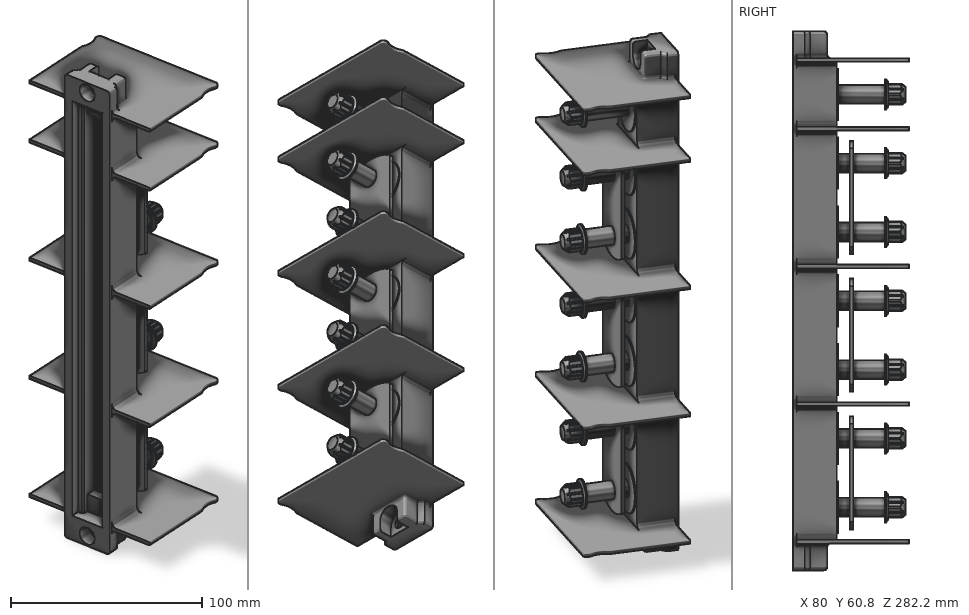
import cadquery as cq
import math

STRIP_LENGTH = 282.2
PITCH = 36.0
STUD_POSITIONS = [step * PITCH for step in range(-3, 4)]
BARRIER_POSITIONS = [-3.5 * PITCH, -1.5 * PITCH, 0.5 * PITCH, 2.5 * PITCH, 3.5 * PITCH]
LINK_POSITIONS = [-2.5 * PITCH, -0.5 * PITCH, 1.5 * PITCH]

BODY_WIDTH = 30.0
BODY_DEPTH = 23.0
BODY_LENGTH = BARRIER_POSITIONS[-1] - BARRIER_POSITIONS[0]

END_DEPTH = 18.0
END_REAR_WIDTH = 24.6
END_SLOPE_START = 6.3
END_SLOPE_FINISH = 9.0
END_EDGE_RADIUS = 2.0
END_CORNER_RADIUS = 1.4

HOLE_INSET = 6.1
HOLE_DIAMETER = 6.5
FRONT_BORE_DIAMETER = 10.0
FRONT_BORE_DEPTH = 8.0
REAR_SLOT_WIDTH = 12.8
REAR_SLOT_FLOOR = 10.0

EDGE_SEARCH_MARGIN = 0.1

GROOVE_LENGTH = 252.6
GROOVE_WIDTH = 20.0
GROOVE_DEPTH = 5.0
CHANNEL_WIDTH = 13.0
CHANNEL_DEPTH = 14.0
CHANNEL_CHAMFER = 1.0
END_BLOCK_LENGTH = 10.4
END_BLOCK_FRONT = 8.5

BARRIER_WIDTH = 80.0
BARRIER_THICKNESS = 2.0
BARRIER_FRONT = 2.0
BARRIER_REAR = 60.8
BARRIER_CORNER_RADIUS = 2.0
SCALLOP_START = 46.5
SCALLOP_FINISH = 57.5
SCALLOP_DEPTH = 1.5
SCALLOP_LIP_RADIUS = 4.0
BARRIER_EDGE_RADIUS = 0.25
ROOT_RADIUS = 3.0
END_ROOT_RADIUS = 1.8

PAD_DIAMETER = 27.0
PAD_REAR = 23.8
STUD_DIAMETER = 10.0
FLANGE_DIAMETER = 16.0
FLANGE_TOP_DIAMETER = 13.0
FLANGE_FRONT = 48.0
FLANGE_RIM = 0.8
FLANGE_REAR = 49.8
HEAD_SIDES = 6
HEAD_ACROSS_FLATS = 11.0
HEAD_CORNER_DIAMETER = HEAD_ACROSS_FLATS / math.cos(math.pi / HEAD_SIDES)
HEAD_ROUND_DIAMETER = 12.2
HEAD_REAR = 59.0
HEAD_TIP_DIAMETER = 7.8
HEAD_BEVEL_LENGTH = 2.8
HEAD_GROOVE_WIDTH = 1.0
HEAD_GROOVE_DEPTH = 0.7

LINK_WIDTH = 30.0
LINK_LENGTH = 59.5
LINK_FRONT = 29.7
LINK_THICKNESS = 2.0


def box(x_size, y_start, y_end, z_size, z_center=0.0):
    """Block centred on X, between two depths along Y."""
    depth = y_end - y_start
    return cq.Workplane("XY").box(x_size, depth, z_size).translate((0, y_start + depth / 2, z_center))


def disc(diameter, y_start, y_end, z_center):
    """Cylinder along Y between two depths."""
    return (
        cq.Workplane("XZ", origin=(0, y_start, z_center))
        .circle(diameter / 2)
        .extrude(y_start - y_end)
    )


def mounting_profile():
    """Stepped cross-section of the mounting ends, lying in XY."""
    front_half = BODY_WIDTH / 2
    rear_half = END_REAR_WIDTH / 2
    return cq.Workplane("XY").polyline([
        (-front_half, 0),
        (front_half, 0),
        (front_half, END_SLOPE_START),
        (rear_half, END_SLOPE_FINISH),
        (rear_half, END_DEPTH),
        (-rear_half, END_DEPTH),
        (-rear_half, END_SLOPE_FINISH),
        (-front_half, END_SLOPE_START),
    ]).close()


def mounting_rail():
    """Full-length stepped bar whose two ends stand out of the body."""
    rail = mounting_profile().extrude(STRIP_LENGTH).translate((0, 0, -STRIP_LENGTH / 2))
    rail = rail.edges("|Z and >Y").fillet(END_CORNER_RADIUS)
    return rail.faces("<Z or >Z").edges("not <Y").fillet(END_EDGE_RADIUS)


def barrier(z_center):
    """Plate with rounded edges and rear corners and a shallow scallop in each side."""
    half = BARRIER_WIDTH / 2
    scallop_middle = (SCALLOP_START + SCALLOP_FINISH) / 2
    plate = box(BARRIER_WIDTH, BARRIER_FRONT, BARRIER_REAR, BARRIER_THICKNESS, z_center)
    plate = plate.edges("|Z and >Y").fillet(BARRIER_CORNER_RADIUS)
    for side in (-1, 1):
        scallop = (
            cq.Workplane("XY", origin=(0, 0, z_center - BARRIER_THICKNESS / 2))
            .moveTo(side * half, SCALLOP_START)
            .threePointArc((side * (half - SCALLOP_DEPTH), scallop_middle), (side * half, SCALLOP_FINISH))
            .close()
            .extrude(BARRIER_THICKNESS)
        )
        plate = plate.cut(scallop)
    lip_band = cq.selectors.BoxSelector(
        (-half - EDGE_SEARCH_MARGIN, SCALLOP_START - EDGE_SEARCH_MARGIN, z_center - BARRIER_THICKNESS),
        (half + EDGE_SEARCH_MARGIN, SCALLOP_FINISH + EDGE_SEARCH_MARGIN, z_center + BARRIER_THICKNESS),
    )
    plate = plate.edges("|Z").edges(lip_band).fillet(SCALLOP_LIP_RADIUS)
    return plate.faces("<Z or >Z").edges("not <Y").fillet(BARRIER_EDGE_RADIUS)


def side_root(side, z_face, direction):
    """Concave fillet between a body side and a barrier face."""
    x_wall = side * BODY_WIDTH / 2
    diagonal = ROOT_RADIUS * (1 - math.sqrt(0.5))
    return (
        cq.Workplane("XZ", origin=(0, BARRIER_FRONT, 0))
        .moveTo(x_wall, z_face)
        .lineTo(x_wall + side * ROOT_RADIUS, z_face)
        .threePointArc(
            (x_wall + side * diagonal, z_face + direction * diagonal),
            (x_wall, z_face + direction * ROOT_RADIUS),
        )
        .close()
        .extrude(BARRIER_FRONT - BODY_DEPTH)
    )


def blend_end_roots(housing):
    """Fillet the outline of each mounting end where it meets the outermost barrier."""
    z_face = BARRIER_POSITIONS[-1] + BARRIER_THICKNESS / 2
    reach = BODY_WIDTH / 2 + EDGE_SEARCH_MARGIN
    for direction in (-1, 1):
        outline = cq.selectors.BoxSelector(
            (-reach, BARRIER_FRONT, direction * z_face - EDGE_SEARCH_MARGIN),
            (reach, END_DEPTH + EDGE_SEARCH_MARGIN, direction * z_face + EDGE_SEARCH_MARGIN),
        )
        housing = housing.edges(outline).fillet(END_ROOT_RADIUS)
    return housing


def groove():
    """Front groove with a deeper central channel that is shallower at both ends."""
    opening = box(GROOVE_WIDTH, 0, GROOVE_DEPTH, GROOVE_LENGTH)
    channel = box(CHANNEL_WIDTH, GROOVE_DEPTH, CHANNEL_DEPTH, GROOVE_LENGTH)
    half = CHANNEL_WIDTH / 2
    lead_in = (
        cq.Workplane("XY", origin=(0, 0, -GROOVE_LENGTH / 2))
        .polyline([
            (-half - CHANNEL_CHAMFER, GROOVE_DEPTH),
            (half + CHANNEL_CHAMFER, GROOVE_DEPTH),
            (half, GROOVE_DEPTH + CHANNEL_CHAMFER),
            (-half, GROOVE_DEPTH + CHANNEL_CHAMFER),
        ])
        .close()
        .extrude(GROOVE_LENGTH)
    )
    cutter = opening.union(channel).union(lead_in)
    block_position = (GROOVE_LENGTH - END_BLOCK_LENGTH) / 2
    for direction in (-1, 1):
        cutter = cutter.cut(
            box(CHANNEL_WIDTH, END_BLOCK_FRONT, CHANNEL_DEPTH, END_BLOCK_LENGTH, direction * block_position)
        )
    return cutter


def mounting_hole(direction):
    """Through hole, round front counterbore and rear slot open to the end of the strip."""
    z_center = direction * (STRIP_LENGTH / 2 - HOLE_INSET)
    z_slot = z_center + direction * HOLE_INSET / 2
    cutter = disc(HOLE_DIAMETER, 0, END_DEPTH, z_center)
    cutter = cutter.union(disc(FRONT_BORE_DIAMETER, 0, FRONT_BORE_DEPTH, z_center))
    cutter = cutter.union(disc(REAR_SLOT_WIDTH, REAR_SLOT_FLOOR, END_DEPTH, z_center))
    return cutter.union(box(REAR_SLOT_WIDTH, REAR_SLOT_FLOOR, END_DEPTH, HOLE_INSET, z_slot))


def stud(z_center):
    """Stud on its round pad, with a conical flange and a hexagonal head grooved on every flat."""
    axis_profile = cq.Workplane("XY").polyline([
        (0, BODY_DEPTH),
        (STUD_DIAMETER / 2, BODY_DEPTH),
        (STUD_DIAMETER / 2, FLANGE_FRONT),
        (FLANGE_DIAMETER / 2, FLANGE_FRONT),
        (FLANGE_DIAMETER / 2, FLANGE_FRONT + FLANGE_RIM),
        (FLANGE_TOP_DIAMETER / 2, FLANGE_REAR),
        (0, FLANGE_REAR),
    ]).close()
    shank = axis_profile.revolve(360, (0, 0, 0), (0, 1, 0)).translate((0, 0, z_center))
    head = (
        cq.Workplane("XZ", origin=(0, FLANGE_REAR, z_center))
        .polygon(HEAD_SIDES, HEAD_CORNER_DIAMETER)
        .extrude(FLANGE_REAR - HEAD_REAR)
    )
    groove_position = z_center + (HEAD_ACROSS_FLATS - HEAD_GROOVE_DEPTH) / 2
    for flat in range(HEAD_SIDES):
        flat_groove = box(HEAD_GROOVE_WIDTH, FLANGE_REAR, HEAD_REAR, HEAD_GROOVE_DEPTH, groove_position)
        head = head.cut(flat_groove.rotate((0, 0, z_center), (0, 1, z_center), flat * 360 / HEAD_SIDES))
    head_limit = cq.Workplane("XY").polyline([
        (0, FLANGE_REAR),
        (HEAD_ROUND_DIAMETER / 2, FLANGE_REAR),
        (HEAD_ROUND_DIAMETER / 2, HEAD_REAR - HEAD_BEVEL_LENGTH),
        (HEAD_TIP_DIAMETER / 2, HEAD_REAR),
        (0, HEAD_REAR),
    ]).close()
    head = head.intersect(head_limit.revolve(360, (0, 0, 0), (0, 1, 0)).translate((0, 0, z_center)))
    pad = disc(PAD_DIAMETER, BODY_DEPTH, PAD_REAR, z_center)
    return shank.union(head).union(pad)


def make_housing():
    housing = mounting_rail().union(box(BODY_WIDTH, 0, BODY_DEPTH, BODY_LENGTH))
    for z_center in BARRIER_POSITIONS:
        housing = housing.union(barrier(z_center))
        for direction in (-1, 1):
            z_face = z_center + direction * BARRIER_THICKNESS / 2
            if abs(z_face) < BODY_LENGTH / 2:
                for side in (-1, 1):
                    housing = housing.union(side_root(side, z_face, direction))
    housing = blend_end_roots(housing)
    for direction in (-1, 1):
        housing = housing.cut(mounting_hole(direction))
    housing = housing.cut(groove())
    for z_center in STUD_POSITIONS:
        housing = housing.union(stud(z_center))
    return housing


def make_link(z_center):
    """Flat link with arc-shaped ends joining two neighbouring studs."""
    round_blank = disc(LINK_LENGTH, LINK_FRONT, LINK_FRONT + LINK_THICKNESS, z_center)
    link = round_blank.intersect(
        box(LINK_WIDTH, LINK_FRONT, LINK_FRONT + LINK_THICKNESS, LINK_LENGTH, z_center)
    )
    for direction in (-1, 1):
        stud_position = z_center + direction * PITCH / 2
        link = link.cut(disc(STUD_DIAMETER, LINK_FRONT, LINK_FRONT + LINK_THICKNESS, stud_position))
    return link


housing = make_housing()
links = [make_link(z_center) for z_center in LINK_POSITIONS]
result = cq.Compound.makeCompound([housing.val(), *[link.val() for link in links]])